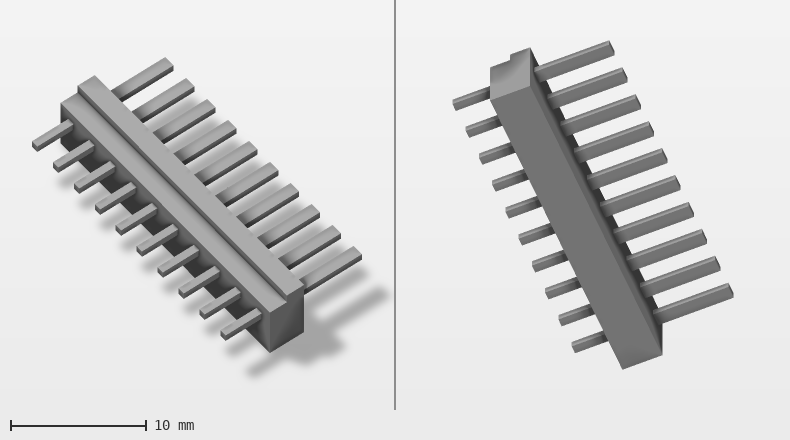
import cadquery as cq

pin_count = 10
pitch = 2.5
housing_length = pin_count * pitch
housing_depth = 3.2
housing_height = 5.6
ledge_depth = housing_depth / 2
ledge_height = 0.8

pin_thickness = 0.64
tail_width = 0.64
blade_width = 1.0
overall_depth = 12.6
tail_length = 3.4
blade_length = overall_depth - housing_depth - tail_length
pin_center_z = 3.5

rear_y = housing_depth / 2
front_y = -rear_y


def make_housing():
    """Stepped YZ profile extruded along X, centred on the YZ plane."""
    shoulder_z = housing_height - ledge_height
    ledge_y = rear_y - ledge_depth
    profile = [
        (front_y, 0),
        (rear_y, 0),
        (rear_y, housing_height),
        (ledge_y, housing_height),
        (ledge_y, shoulder_z),
        (front_y, shoulder_z),
    ]
    return cq.Workplane("YZ").polyline(profile).close().extrude(housing_length / 2, both=True)


def make_pin(x):
    """One pin at the given X; tail and blade meet at the housing's mid-depth."""
    tail_reach = tail_length + housing_depth / 2
    blade_reach = blade_length + housing_depth / 2
    tail = cq.Workplane("XY").box(tail_width, tail_reach, pin_thickness)
    blade = cq.Workplane("XY").box(blade_width, blade_reach, pin_thickness)
    tail = tail.translate((x, -tail_reach / 2, pin_center_z))
    blade = blade.translate((x, blade_reach / 2, pin_center_z))
    return tail.union(blade)


result = make_housing()
for index in range(pin_count):
    pin_x = (index - (pin_count - 1) / 2) * pitch
    result = result.union(make_pin(pin_x))